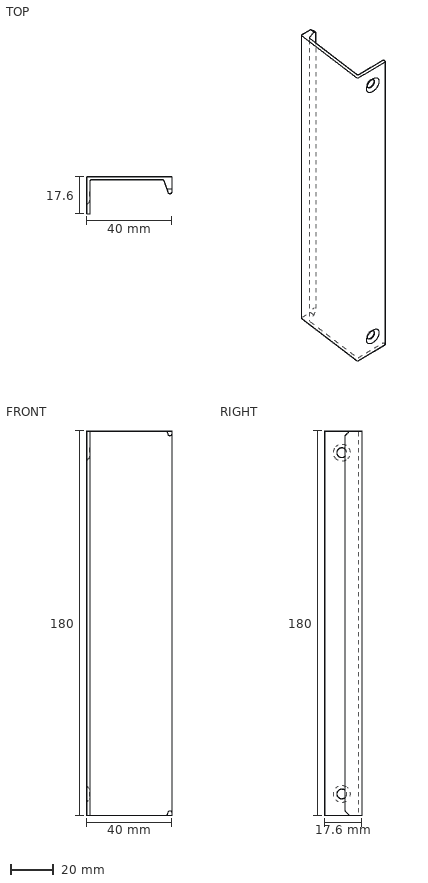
import cadquery as cq

length = 180.0
width = 40.0
depth = 17.6
wall = 1.6
edge_radius = 0.5

lip_depth = 8.1
lip_base_width = 4.0
lip_tip_width = 2.0
lip_tip_radius = lip_tip_width / 2
lip_end_chamfer = 2.2

hole_diameter = 4.5
countersink_diameter = 8.0
countersink_depth = 1.3
hole_end_offset = 10.0
hole_back_offset = 9.5


def make_body():
    """Constant section: leg at X = 0, plate along the back (Y = 0), lip at the far edge."""
    tip_start = lip_tip_radius - lip_depth
    lip_inner_base = width - lip_base_width
    lip_inner_tip = width - lip_tip_width
    body = (
        cq.Workplane("XY")
        .lineTo(width, 0)
        .lineTo(width, tip_start)
        .threePointArc((width - lip_tip_radius, -lip_depth), (lip_inner_tip, tip_start))
        .lineTo(lip_inner_base, -wall)
        .lineTo(wall, -wall)
        .lineTo(wall, -depth)
        .lineTo(0, -depth)
        .close()
        .extrude(length)
    )
    rounded_corners = [
        (0, 0),
        (width, 0),
        (lip_inner_base, -wall),
        (wall, -wall),
        (wall, -depth),
        (0, -depth),
    ]
    for x, y in rounded_corners:
        corner_edge = cq.selectors.NearestToPointSelector((x, y, length / 2))
        body = body.edges("|Z").edges(corner_edge).fillet(edge_radius)
    return body


def make_lip_end_cutters():
    """Two triangular bars that bevel the ends of the lip, clear of the leg."""
    lower = (
        cq.Workplane("YZ", origin=(width - lip_base_width, 0, 0))
        .polyline([(-lip_depth, 0), (lip_end_chamfer - lip_depth, 0), (-lip_depth, lip_end_chamfer)])
        .close()
        .extrude(lip_base_width)
    )
    upper = lower.mirror("XY", (0, 0, length / 2))
    return lower.union(upper)


def make_screw_hole(height):
    """Hole through the leg, countersunk on its outer face, at the given height."""
    centre = cq.Vector(0, -hole_back_offset, height)
    axis = cq.Vector(1, 0, 0)
    bore = cq.Solid.makeCylinder(hole_diameter / 2, wall, centre, axis)
    countersink = cq.Solid.makeCone(
        countersink_diameter / 2, hole_diameter / 2, countersink_depth, centre, axis
    )
    return cq.Workplane(bore.fuse(countersink))


result = make_body().cut(make_lip_end_cutters())
for hole_height in (hole_end_offset, length - hole_end_offset):
    result = result.cut(make_screw_hole(hole_height))